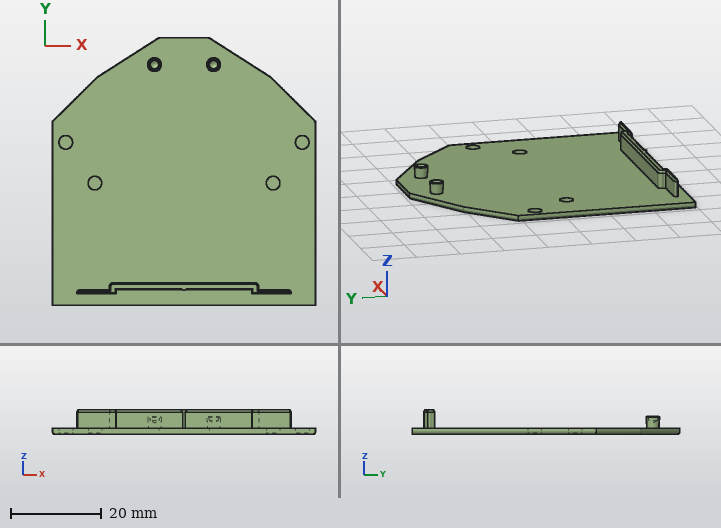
import cadquery as cq
import math

plate_width = 57.85
plate_length = 58.85
plate_thickness = 1.4
overall_height = 5.45
half_width = plate_width / 2
half_length = plate_length / 2
side_end_y = 11.0
shoulder_x = 19.0
shoulder_y = 20.8
nose_half_width = 5.5
underside_radius = 0.6

hole_diameter = 3.0
hole_depth = 1.0
hole_places = [(26.0, 6.4), (19.6, -2.55)]

pin_x = 6.5
pin_y = 23.5
pin_height = 2.55
pin_base_diameter = 2.7
pin_diameter = 3.0
pin_rim_height = 0.15
bore_top_diameter = 2.37
bore_bottom_diameter = 1.9
bore_depth = 0.85
bore_tip_depth = 0.5

rail_half_length = 23.55
rail_front_y = -half_length + 2.5
wing_thickness = 0.9
center_thickness = 1.57
step_outer_x = 16.4
step_inner_x = 14.85
wing_corner_radius = 0.65
center_corner_radius = 0.85
front_corner_chamfer = 0.2
bevel_height = 0.6
bevel_inset = 0.3

bead_radius = 0.9
bead_projection = 0.06


def make_plate():
    right_side = [
        (half_width, -half_length),
        (half_width, side_end_y),
        (shoulder_x, shoulder_y),
        (nose_half_width, half_length),
    ]
    left_side = [(-x, y) for x, y in reversed(right_side)]
    plate = cq.Workplane("XY").polyline(right_side + left_side).close().extrude(plate_thickness)
    rounded_edges = plate.faces("<Z").edges("not(<Y)")
    return rounded_edges.fillet(underside_radius)


def make_rail():
    wing_back_y = rail_front_y + wing_thickness
    center_front_y = wing_back_y
    center_back_y = center_front_y + center_thickness
    right_side = [
        (step_inner_x, center_front_y),
        (step_inner_x, rail_front_y),
        (rail_half_length, rail_front_y),
        (rail_half_length, wing_back_y),
        (step_outer_x, wing_back_y),
        (step_outer_x, center_back_y),
    ]
    left_side = [(-x, y) for x, y in reversed(right_side)]
    straight_height = overall_height - plate_thickness - bevel_height
    rail = (
        cq.Workplane("XY").workplane(offset=plate_thickness)
        .polyline(right_side + left_side).close().extrude(straight_height)
    )
    rail = rail.edges("|Z").edges(">Y").fillet(center_corner_radius)
    wing_ends = rail.edges("|Z").edges("<X or >X")
    rail = wing_ends.edges(">Y").fillet(wing_corner_radius)
    rail = rail.edges("|Z").edges("<Y").chamfer(front_corner_chamfer)
    bevel_angle = math.degrees(math.atan2(bevel_inset, bevel_height))
    bevel = rail.faces(">Z").wires().toPending().extrude(bevel_height, taper=bevel_angle, combine=False)
    bead = (
        cq.Workplane("XY").workplane(offset=plate_thickness)
        .center(0, center_front_y - bead_projection + bead_radius)
        .moveTo(-bead_radius, 0).threePointArc((0, -bead_radius), (bead_radius, 0)).close()
        .extrude(overall_height - plate_thickness)
    )
    return rail.union(bevel).union(bead)


def make_pin(x):
    base_z = plate_thickness
    top_z = base_z + pin_height
    profile = [
        (0, base_z),
        (pin_base_diameter / 2, base_z),
        (pin_diameter / 2, top_z - pin_rim_height),
        (bore_top_diameter / 2, top_z),
        (bore_bottom_diameter / 2, top_z - bore_depth),
        (0, top_z - bore_depth - bore_tip_depth),
    ]
    pin = cq.Workplane("XZ").polyline(profile).close().revolve(360, (0, 0), (0, 1))
    return pin.translate((x, pin_y, 0))


def make_holes():
    places = [(side * x, y) for x, y in hole_places for side in (-1, 1)]
    return (
        cq.Workplane("XY").workplane(offset=plate_thickness)
        .pushPoints(places).circle(hole_diameter / 2).extrude(-hole_depth)
    )


result = make_plate().cut(make_holes()).union(make_rail())
for side in (-1, 1):
    result = result.union(make_pin(side * pin_x))